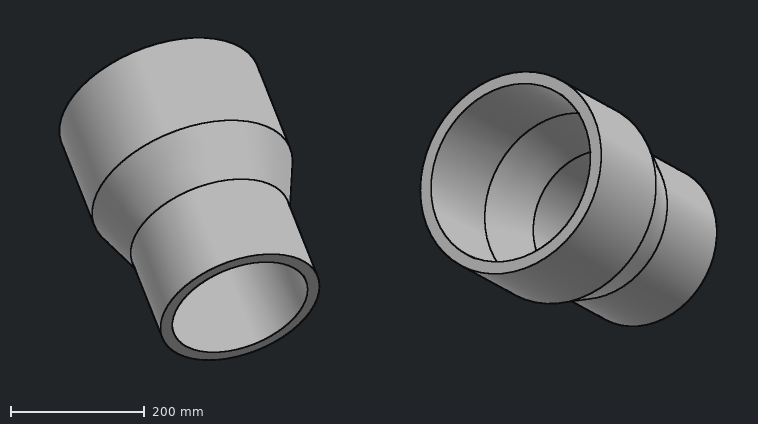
import math

import cadquery as cq

total_length = 392.0
wide_length = 160.0
cone_length = 87.0

wide_outer_diameter = 315.0
narrow_outer_diameter = 250.0
wall_thickness = 19.0

wide_bore_diameter = wide_outer_diameter - 2 * wall_thickness
narrow_bore_diameter = narrow_outer_diameter - 2 * wall_thickness

cone_angle = math.atan2((wide_outer_diameter - narrow_outer_diameter) / 2, cone_length)
bore_cone_shift = wall_thickness * math.tan(cone_angle / 2)


def reducer_body(wide_diameter, narrow_diameter, cone_start):
    """Solid of revolution: wide cylinder, cone, narrow cylinder."""
    wide_radius = wide_diameter / 2
    narrow_radius = narrow_diameter / 2
    return (
        cq.Workplane("XY")
        .moveTo(0, 0)
        .lineTo(0, wide_radius)
        .lineTo(cone_start, wide_radius)
        .lineTo(cone_start + cone_length, narrow_radius)
        .lineTo(total_length, narrow_radius)
        .lineTo(total_length, 0)
        .close()
        .revolve(360, (0, 0, 0), (1, 0, 0))
    )


outer_body = reducer_body(wide_outer_diameter, narrow_outer_diameter, wide_length)
bore = reducer_body(wide_bore_diameter, narrow_bore_diameter, wide_length - bore_cone_shift)

result = outer_body.cut(bore)